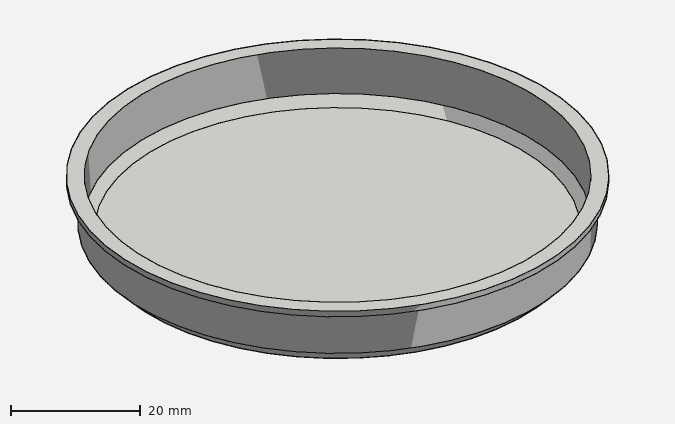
import cadquery as cq
import math

rim_diameter = 83.5
wall_outer_diameter = 80.0
height = 10.7
thickness = 1.0
chamfer = 2.2

rim_radius = rim_diameter / 2
wall_outer_radius = wall_outer_diameter / 2
wall_inner_radius = wall_outer_radius - thickness
base_radius = wall_outer_radius - chamfer
rim_bottom = height - thickness

corner_shift = thickness * math.tan(math.radians(22.5))
inner_band_top = chamfer + corner_shift
floor_radius = base_radius - corner_shift

section = [
    (0, 0),
    (base_radius, 0),
    (wall_outer_radius, chamfer),
    (wall_outer_radius, rim_bottom),
    (rim_radius, rim_bottom),
    (rim_radius, height),
    (wall_inner_radius, height),
    (wall_inner_radius, inner_band_top),
    (floor_radius, thickness),
    (0, thickness),
]

result = cq.Workplane("XZ").polyline(section).close().revolve(360, (0, 0, 0), (0, 1, 0))